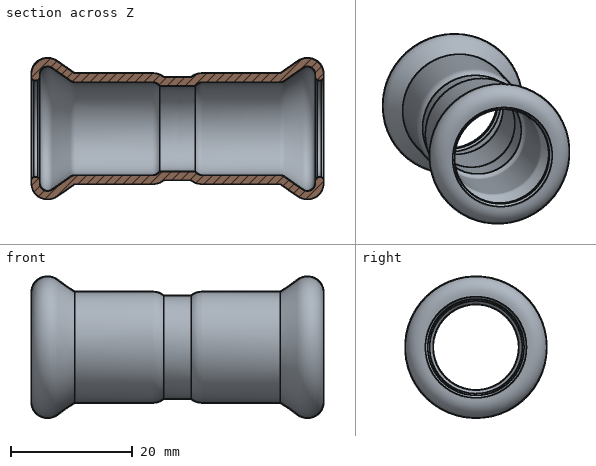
import cadquery as cq
import math

length = 48.0
mid_x = length / 2

bead_outer_radius = 23.28 / 2
body_radius = 18.3 / 2
neck_radius = 17.0 / 2
bead_round = 2.7
flare_end_x = 7.12
body_end_x = 20.0
neck_start_x = 21.75

mouth_radius = 15.8 / 2
socket_radius = 15.2 / 2
neck_bore_radius = 14.0 / 2
bead_wall = 1.45
lip_chamfer = 0.4
socket_blend_radius = 1.3

bead_x = bead_round
bead_center_radius = bead_outer_radius - bead_round

flare_run = flare_end_x - bead_x
flare_rise = body_radius - bead_center_radius
flare_angle = math.asin(bead_round / math.hypot(flare_run, flare_rise)) - math.atan2(flare_rise, flare_run)

shoulder_run = neck_start_x - body_end_x
shoulder_angle = 2 * math.atan2(body_radius - neck_radius, shoulder_run)
shoulder_round = shoulder_run / math.sin(shoulder_angle)
shoulder_center_radius = body_radius - shoulder_round


def on_circle(center_x, center_radius, section_radius, angle):
    """Point on a section circle, at an angle from radially outward toward +X."""
    x = center_x + section_radius * math.sin(angle)
    radius = center_radius + section_radius * math.cos(angle)
    return (x, radius)


def on_bead(section_radius, angle):
    return on_circle(bead_x, bead_center_radius, section_radius, angle)


def on_shoulder(section_radius, angle):
    return on_circle(body_end_x, shoulder_center_radius, section_radius, angle)


def revolve_about_x(profile):
    return profile.revolve(360, (0, 0, 0), (1, 0, 0))


def outer_half():
    """Solid envelope of the half from the open end to the middle."""
    profile = (
        cq.Workplane("XY")
        .lineTo(0, bead_center_radius)
        .threePointArc(on_bead(bead_round, 0), on_bead(bead_round, flare_angle))
        .lineTo(flare_end_x, body_radius)
        .lineTo(body_end_x, body_radius)
        .threePointArc(on_shoulder(shoulder_round, shoulder_angle / 2), (neck_start_x, neck_radius))
        .lineTo(mid_x, neck_radius)
        .lineTo(mid_x, 0)
        .close()
    )
    return revolve_about_x(profile)


def bore_half():
    """Hollow of the same half: chamfered lip, seal groove, socket and neck bore."""
    groove_round = bead_round - bead_wall
    groove_end = on_bead(groove_round, flare_angle)

    blend_start_radius = socket_radius + socket_blend_radius * (1 - math.cos(flare_angle))
    blend_start_x = groove_end[0] + (groove_end[1] - blend_start_radius) / math.tan(flare_angle)
    blend_end_x = blend_start_x + socket_blend_radius * math.sin(flare_angle)
    blend_center_radius = socket_radius + socket_blend_radius
    blend_mid = on_circle(blend_end_x, blend_center_radius, -socket_blend_radius, flare_angle / 2)

    stop_round = socket_radius - shoulder_center_radius
    stop_mid = on_shoulder(stop_round, shoulder_angle / 2)
    stop_end = on_shoulder(stop_round, shoulder_angle)
    neck_bore_start_x = stop_end[0] + (stop_end[1] - neck_bore_radius) / math.tan(shoulder_angle)

    profile = (
        cq.Workplane("XY")
        .lineTo(0, mouth_radius + lip_chamfer)
        .lineTo(lip_chamfer, mouth_radius)
        .lineTo(bead_wall - lip_chamfer, mouth_radius)
        .lineTo(bead_wall, mouth_radius + lip_chamfer)
        .lineTo(bead_wall, bead_center_radius)
        .threePointArc(on_bead(groove_round, 0), groove_end)
        .lineTo(blend_start_x, blend_start_radius)
        .threePointArc(blend_mid, (blend_end_x, socket_radius))
        .lineTo(body_end_x, socket_radius)
        .threePointArc(stop_mid, stop_end)
        .lineTo(neck_bore_start_x, neck_bore_radius)
        .lineTo(mid_x, neck_bore_radius)
        .lineTo(mid_x, 0)
        .close()
    )
    return revolve_about_x(profile)


half = outer_half().cut(bore_half())
result = half.union(half.mirror("YZ", (mid_x, 0, 0))).clean()